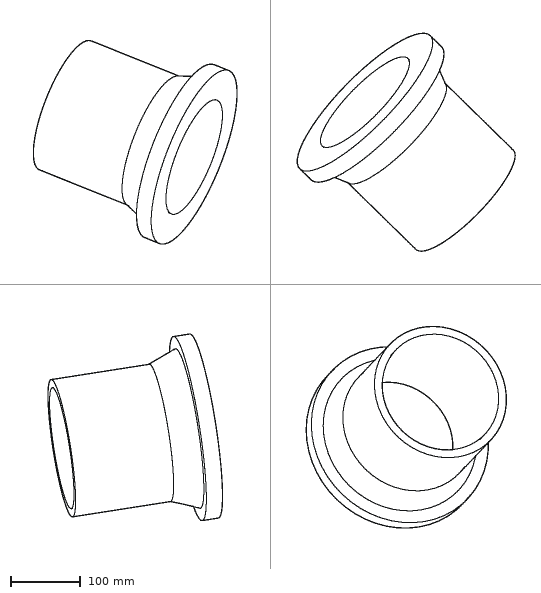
import cadquery as cq

total_length = 208.5
bore_diameter = 176.0
pipe_diameter = 200.0
flange_diameter = 268.0
flange_thickness = 23.9

neck_length = 41.0
neck_diameter = 232.0

flange_start = total_length - flange_thickness
neck_start = flange_start - neck_length

half_section = (
    cq.Workplane("XY")
    .moveTo(0, bore_diameter / 2)
    .lineTo(0, pipe_diameter / 2)
    .lineTo(neck_start, pipe_diameter / 2)
    .lineTo(flange_start, neck_diameter / 2)
    .lineTo(flange_start, flange_diameter / 2)
    .lineTo(total_length, flange_diameter / 2)
    .lineTo(total_length, bore_diameter / 2)
    .close()
)

result = half_section.revolve(360, (0, 0, 0), (1, 0, 0))